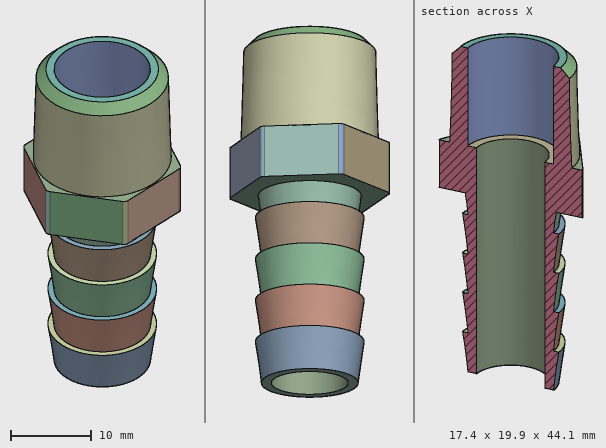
import cadquery as cq

total_length = 44.1
hex_bottom = 24.25
hex_top = 30.8

hex_across_flats = 17.45
hex_corner_radius = 0.75

neck_base_radius = 8.55
neck_end_radius = 8.2
lead_in_height = 1.25

barb_count = 4
barb_pitch = 5.36
barb_crest_radius = 6.75
barb_root_radius = 6.0

bore_radius = 4.75
upper_bore_radius = 5.95


def ring_cone(bottom_radius, top_radius, bottom, top):
    """Solid cone frustum about the Z axis."""
    profile = [(0, bottom), (bottom_radius, bottom), (top_radius, top), (0, top)]
    return cq.Workplane("XZ").polyline(profile).close().revolve(360, (0, 0, 0), (0, 1, 0))


def hexagon():
    """Hexagon with flats facing X and rounded vertical edges."""
    return (
        cq.Workplane("XY")
        .workplane(offset=hex_bottom)
        .polygon(6, hex_across_flats, circumscribed=True)
        .extrude(hex_top - hex_bottom)
        .edges("|Z")
        .fillet(hex_corner_radius)
    )


def connection():
    """Tapered neck finished with a conical lead-in."""
    lead_in_bottom = total_length - lead_in_height
    neck = ring_cone(neck_base_radius, neck_end_radius, hex_top, lead_in_bottom)
    lead_in_end_radius = neck_end_radius - lead_in_height
    lead_in = ring_cone(neck_end_radius, lead_in_end_radius, lead_in_bottom, total_length)
    return neck.union(lead_in)


def hose_tail():
    """Barbs that widen upward, with a last partial barb running into the hexagon."""
    flare = (barb_crest_radius - barb_root_radius) / barb_pitch
    barbs_top = barb_count * barb_pitch
    shank_top_radius = barb_root_radius + flare * (hex_bottom - barbs_top)
    tail = ring_cone(barb_root_radius, shank_top_radius, barbs_top, hex_bottom)
    for index in range(barb_count):
        bottom = index * barb_pitch
        tail = tail.union(ring_cone(barb_root_radius, barb_crest_radius, bottom, bottom + barb_pitch))
    return tail


bore = cq.Workplane("XY").circle(bore_radius).extrude(total_length)
upper_bore = (
    cq.Workplane("XY").workplane(offset=hex_top).circle(upper_bore_radius).extrude(total_length - hex_top)
)

result = hose_tail().union(hexagon()).union(connection()).cut(bore).cut(upper_bore)